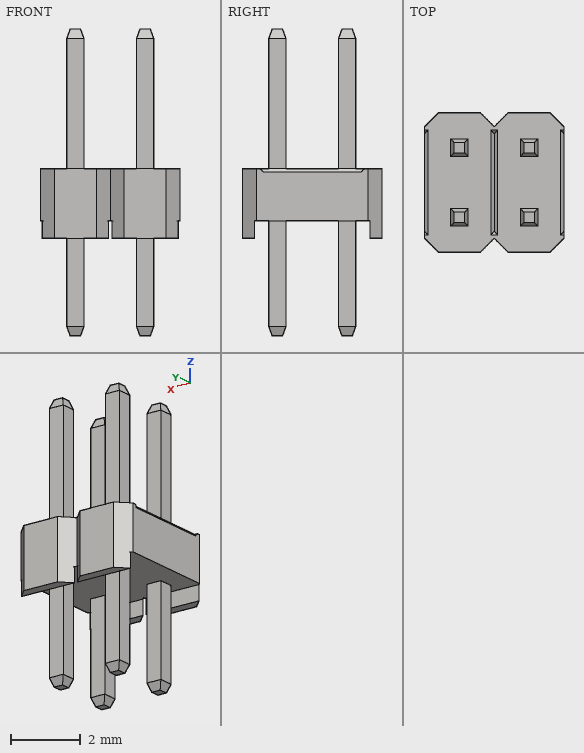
import cadquery as cq
import math

PITCH = 2.0
COLUMNS = 2
ROWS = 2

BODY_HEIGHT = 2.0
BODY_DEPTH = ROWS * PITCH
CORNER_CHAMFER = 0.4

FOOT_LENGTH = 0.35
CHANNEL_HEIGHT = 0.5

GROOVE_LENGTH = 3.0
GROOVE_DEPTH = 0.1
GROOVE_WIDTH = 2 * GROOVE_DEPTH

PIN_WIDTH = 0.5
PIN_ABOVE = 4.0
PIN_BELOW = 2.8
TIP_WIDTH = 0.3
TIP_TAPER_ANGLE = 20.0
TIP_LENGTH = (PIN_WIDTH - TIP_WIDTH) / 2 / math.tan(math.radians(TIP_TAPER_ANGLE))


def centered_positions(count):
    """Positions of evenly pitched items, centered on zero."""
    return [(i - (count - 1) / 2) * PITCH for i in range(count)]


def make_column_block(x):
    """Block that holds one column of pins, with its four upright edges chamfered."""
    return (
        cq.Workplane("XY")
        .center(x, 0)
        .rect(PITCH, BODY_DEPTH)
        .extrude(BODY_HEIGHT)
        .edges("|Z")
        .chamfer(CORNER_CHAMFER)
    )


def make_channel():
    """Cutter that leaves only the two rows of end feet below the body."""
    return cq.Workplane("XY").rect(COLUMNS * PITCH, BODY_DEPTH - 2 * FOOT_LENGTH).extrude(CHANNEL_HEIGHT)


def make_groove(x):
    """Roof-shaped cutter: a V along Y whose ends slope at the same 45 degrees."""
    half_width = GROOVE_WIDTH / 2
    half_length = GROOVE_LENGTH / 2
    ridge_half_length = half_length - GROOVE_DEPTH
    v_prism = (
        cq.Workplane("XZ", origin=(x, half_length, BODY_HEIGHT))
        .polyline([(-half_width, 0), (half_width, 0), (0, -GROOVE_DEPTH)])
        .close()
        .extrude(GROOVE_LENGTH)
    )
    sloped_ends = (
        cq.Workplane("YZ", origin=(x - half_width, 0, BODY_HEIGHT))
        .polyline([
            (-half_length, 0),
            (half_length, 0),
            (ridge_half_length, -GROOVE_DEPTH),
            (-ridge_half_length, -GROOVE_DEPTH),
        ])
        .close()
        .extrude(GROOVE_WIDTH)
    )
    return v_prism.intersect(sloped_ends)


def make_tip(x, y, base_z, end_z):
    """Tapered pin end, from the full pin width at base_z to the tip width at end_z."""
    return (
        cq.Workplane("XY", origin=(x, y, base_z))
        .rect(PIN_WIDTH, PIN_WIDTH)
        .workplane(offset=end_z - base_z)
        .rect(TIP_WIDTH, TIP_WIDTH)
        .loft(ruled=True)
    )


def make_pin(x, y):
    """Square pin through the body, tapered at both ends."""
    top_z = BODY_HEIGHT + PIN_ABOVE
    bottom_z = -PIN_BELOW
    shaft_bottom_z = bottom_z + TIP_LENGTH
    shaft_top_z = top_z - TIP_LENGTH
    shaft = (
        cq.Workplane("XY", origin=(x, y, shaft_bottom_z))
        .rect(PIN_WIDTH, PIN_WIDTH)
        .extrude(shaft_top_z - shaft_bottom_z)
    )
    upper_tip = make_tip(x, y, shaft_top_z, top_z)
    lower_tip = make_tip(x, y, shaft_bottom_z, bottom_z)
    return shaft.union(upper_tip).union(lower_tip)


body = cq.Workplane("XY")
for column_x in centered_positions(COLUMNS):
    body = body.union(make_column_block(column_x))
body = body.cut(make_channel())

for groove_x in centered_positions(COLUMNS + 1):
    body = body.cut(make_groove(groove_x))

result = body
for pin_x in centered_positions(COLUMNS):
    for pin_y in centered_positions(ROWS):
        result = result.union(make_pin(pin_x, pin_y))